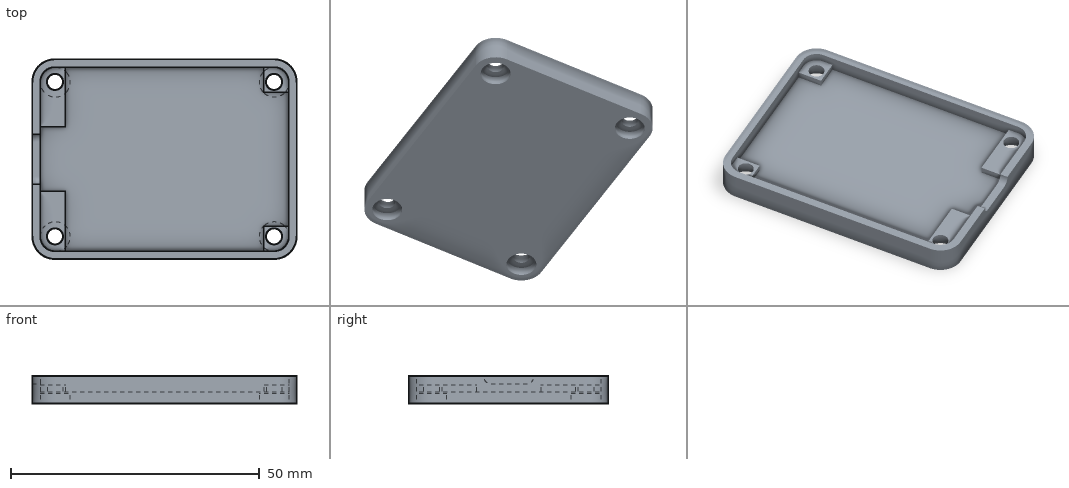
import cadquery as cq

length = 53.2
width = 40.2
height = 5.6
wall = 1.6
floor_thickness = 2.4
outer_radius = 4.6
inner_radius = outer_radius - wall

pad_reach = 6.65
pad_height = 1.4
pad_top = floor_thickness + pad_height
long_pad_gap = 13.0
long_pad_reach = (width - long_pad_gap) / 2
hole_diameter = 3.2
head_diameter = 6.0
head_depth = 2.0

notch_width = 10.0
notch_depth = 1.6
notch_radius = 1.5


def rounded_block(block_length, block_width, block_height, radius):
    """Block standing on Z = 0 with rounded vertical edges."""
    block = cq.Workplane("XY").box(block_length, block_width, block_height, centered=(True, True, False))
    return block.edges("|Z").fillet(radius)


def corner_pad(x_side, y_side, y_reach):
    """Pad in one corner, trimmed to the rounded outline of the tray."""
    pad = cq.Workplane("XY").box(pad_reach, y_reach, pad_top, centered=(True, True, False))
    pad = pad.translate((x_side * (length - pad_reach) / 2, y_side * (width - y_reach) / 2, 0))
    return pad.intersect(outer_block)


outer_block = rounded_block(length, width, height, outer_radius)
cavity = rounded_block(length - 2 * wall, width - 2 * wall, height, inner_radius)
result = outer_block.cut(cavity.translate((0, 0, floor_thickness)))

for x_side, y_reach in ((-1, long_pad_reach), (1, pad_reach)):
    for y_side in (-1, 1):
        result = result.union(corner_pad(x_side, y_side, y_reach))

hole_spacing_x = length - 2 * outer_radius
hole_spacing_y = width - 2 * outer_radius
hole_centers = cq.Workplane("XY").rect(hole_spacing_x, hole_spacing_y, forConstruction=True).vertices()
result = result.cut(hole_centers.circle(hole_diameter / 2).extrude(height))
result = result.cut(hole_centers.circle(head_diameter / 2).extrude(head_depth))

notch = (
    cq.Workplane("XY")
    .box(wall, notch_width, 2 * notch_depth)
    .edges("|X and <Z")
    .fillet(notch_radius)
    .translate(((wall - length) / 2, 0, height))
)
result = result.cut(notch)